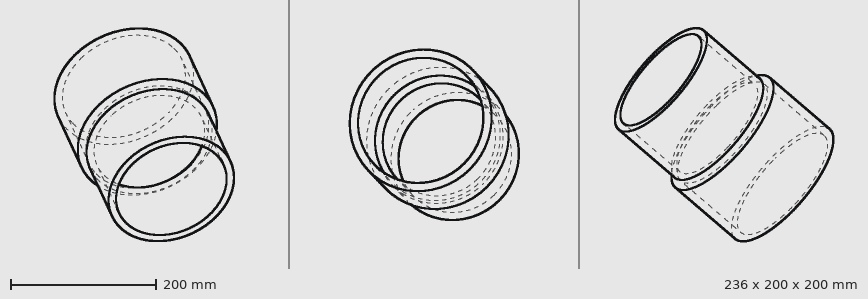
import cadquery as cq

total_length = 236.0
wide_length = 116.5
narrow_length = 109.5
narrow_start = total_length - narrow_length

wide_outer_radius = 200.0 / 2
wide_bore_radius = 176.3 / 2
narrow_outer_radius = 180.0 / 2
narrow_bore_radius = 158.5 / 2


def stepped_cone_body(wide_radius, narrow_radius):
    """Solid of revolution about X, tapering between the two sleeves."""
    return (
        cq.Workplane("XY")
        .moveTo(0, 0)
        .lineTo(0, wide_radius)
        .lineTo(wide_length, wide_radius)
        .lineTo(narrow_start, narrow_radius)
        .lineTo(total_length, narrow_radius)
        .lineTo(total_length, 0)
        .close()
        .revolve(360, (0, 0, 0), (1, 0, 0))
    )


outer_body = stepped_cone_body(wide_outer_radius, narrow_outer_radius)
bore = stepped_cone_body(wide_bore_radius, narrow_bore_radius)
result = outer_body.cut(bore)